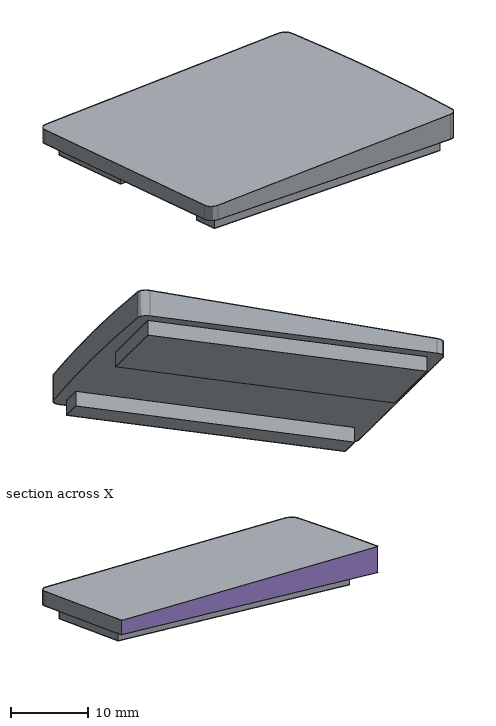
import cadquery as cq

width = 34.2
length = 42.49
front_thickness = 2.0
rear_thickness = 3.6
rear_bulge = 0.53
corner_radius = 1.25

rail_height = 2.03
rail_side_inset = 1.65
rail_end_inset = 2.05
wide_rail_width = 12.2
narrow_rail_width = 3.6

half_width = width / 2
front_y = -length / 2
rear_y = length / 2
rear_corner_y = rear_y - rear_bulge


def make_plate():
    """Plate with a bowed rear edge, rounded corners and a top sloping down to the front."""
    blank = (
        cq.Workplane("XY")
        .moveTo(-half_width, front_y)
        .lineTo(half_width, front_y)
        .lineTo(half_width, rear_corner_y)
        .threePointArc((0, rear_y), (-half_width, rear_corner_y))
        .close()
        .extrude(rear_thickness)
        .edges("|Z")
        .fillet(corner_radius)
    )
    wedge = (
        cq.Workplane("YZ")
        .moveTo(front_y, 0)
        .lineTo(rear_y, 0)
        .lineTo(rear_y, rear_thickness)
        .lineTo(front_y, front_thickness)
        .close()
        .extrude(half_width, both=True)
    )
    return blank.intersect(wedge)


def make_rail(left_x, rail_width):
    """Rectangular rail hanging from the underside of the plate (Z = 0)."""
    rail_length = length - 2 * rail_end_inset
    return (
        cq.Workplane("XY")
        .box(rail_width, rail_length, rail_height, centered=(False, True, False))
        .translate((left_x, 0, -rail_height))
    )


rail_edge_x = half_width - rail_side_inset
wide_rail = make_rail(-rail_edge_x, wide_rail_width)
narrow_rail = make_rail(rail_edge_x - narrow_rail_width, narrow_rail_width)

result = make_plate().union(wide_rail).union(narrow_rail)